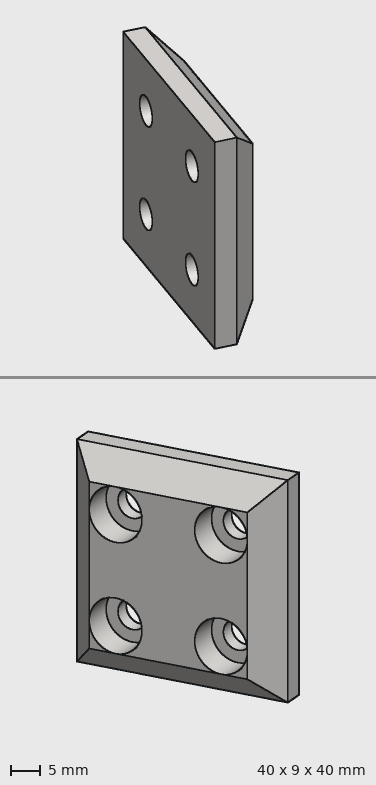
import cadquery as cq

plate_side = 40.0
plate_depth = 9.0
bevel = 5.0

hole_spacing = 20.0
hole_diameter = 5.5
hole_length = 3.0
counterbore_diameter = 10.0


def bevelled_plate():
    """Plate with its flat front face on Y = 0 and a bevel all round the back."""
    plate = cq.Workplane("XY").box(plate_side, plate_depth, plate_side, centered=(True, False, True))
    return plate.faces(">Y").edges().chamfer(bevel)


def hole_pattern(diameter, start_y):
    """Cylinders running from start_y to the back face, one at each screw position."""
    return (
        cq.Workplane("XZ", origin=(0, start_y, 0))
        .rarray(hole_spacing, hole_spacing, 2, 2)
        .circle(diameter / 2)
        .extrude(start_y - plate_depth)
    )


screw_holes = hole_pattern(hole_diameter, 0)
counterbores = hole_pattern(counterbore_diameter, hole_length)

result = bevelled_plate().cut(screw_holes).cut(counterbores)